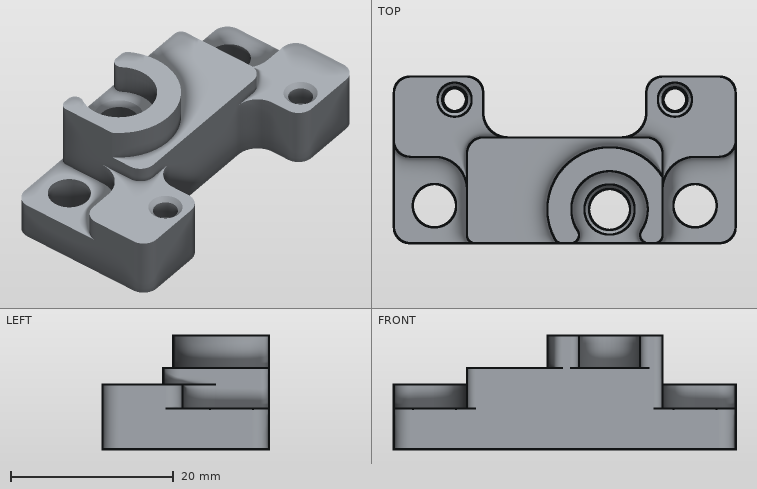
import cadquery as cq
import math

length = 42.0
depth = 20.5
corner_radius = 2.0

foot_height = 5.0
pad_height = 8.0
block_height = 10.0
ring_height = 14.0

notch_width = 20.0
notch_floor_y = 13.0
notch_radius = 3.0

block_width = 24.02
block_front_radius = 1.0

pad_front_y = 10.63
pad_inner_radius = 4.0

ring_x = 5.5
ring_y = 4.15
ring_outer_radius = 7.65
ring_inner_radius = 4.7
lip_radius = 1.0
main_hole_diameter = 5.0
main_countersink_diameter = 6.17

foot_hole_x = 16.0
foot_hole_y = 4.6
foot_hole_diameter = 5.3
pad_hole_x = 13.52
pad_hole_y = 17.65
pad_hole_diameter = 2.77
pad_bore_diameter = 3.05
pad_countersink_diameter = 4.2

position_tolerance = 0.005


def box_from(width, y_front, y_rear, height):
    """Box standing on Z = 0, centred on X = 0, spanning y_front to y_rear."""
    return (
        cq.Workplane("XY")
        .center(0, (y_front + y_rear) / 2)
        .rect(width, y_rear - y_front)
        .extrude(height)
    )


def fillet_uprights_at(body, corners, radius):
    """Round the vertical edges that stand on the given (x, y) corners."""
    uprights = []
    for x, y in corners:
        uprights += [
            edge for edge in body.edges("|Z").vals()
            if math.hypot(edge.Center().x - x, edge.Center().y - y) < position_tolerance
        ]
    return body.newObject(uprights).fillet(radius)


def plate(height):
    """U-shaped plate with rounded corners, open at the rear."""
    half_notch = notch_width / 2
    body = box_from(length, 0, depth, height).cut(
        box_from(notch_width, notch_floor_y, depth, height)
    )
    notch_corners = [(side * half_notch, notch_floor_y) for side in (-1, 1)]
    outer_corners = [
        (side * x, y)
        for side in (-1, 1)
        for x, y in ((length / 2, 0), (length / 2, depth), (half_notch, depth))
    ]
    body = fillet_uprights_at(body, notch_corners, notch_radius)
    return fillet_uprights_at(body, outer_corners, corner_radius)


def pads():
    """Rear half of the plate at pad height, blended into the block sides."""
    body = box_from(length, pad_front_y, depth, pad_height).union(
        box_from(block_width, block_front_radius, pad_front_y, pad_height)
    )
    inner_corners = [(side * block_width / 2, pad_front_y) for side in (-1, 1)]
    outer_corners = [(side * length / 2, pad_front_y) for side in (-1, 1)]
    body = fillet_uprights_at(body, inner_corners, pad_inner_radius)
    body = fillet_uprights_at(body, outer_corners, corner_radius)
    return body.intersect(plate(pad_height))


def block():
    """Central block with small front and larger rear corner radii."""
    body = box_from(block_width, 0, notch_floor_y, block_height)
    body = body.edges("|Z and <Y").fillet(block_front_radius)
    return body.edges("|Z and >Y").fillet(corner_radius)


def open_ring():
    """Ring trimmed by the front and side of the block, with rounded lips."""
    centre = cq.Workplane("XY", origin=(ring_x, ring_y, 0))
    disc = centre.circle(ring_outer_radius).extrude(ring_height)
    bore = centre.circle(ring_inner_radius).extrude(ring_height)
    corner = (
        cq.Workplane("XY", origin=(ring_x, 0, 0))
        .rect(block_width / 2 - ring_x, ring_y, centered=False)
        .extrude(ring_height)
    )
    ring = disc.union(corner).cut(bore)
    ring = ring.intersect(box_from(block_width, 0, notch_floor_y, ring_height))
    ring = ring.edges("|Z and <Y").fillet(lip_radius)
    above_block = box_from(length, 0, depth, ring_height - block_height)
    return ring.intersect(above_block.translate((0, 0, block_height)))


def drill(x, y, diameter, bottom=0):
    """Cutter for a hole from height bottom up through the whole part above it."""
    return cq.Workplane("XY", origin=(x, y, bottom)).circle(diameter / 2).extrude(ring_height)


def drill_countersunk(x, y, diameter, mouth_diameter, top, bottom=0):
    """Cutter for a hole down to bottom with a 45 degree countersink at height top."""
    radius = diameter / 2
    mouth_radius = mouth_diameter / 2
    cone_depth = mouth_radius - radius
    cone = cq.Solid.makeCone(radius, mouth_radius, cone_depth, cq.Vector(x, y, top - cone_depth))
    return drill(x, y, diameter, bottom).union(cq.Workplane(cone))


result = plate(foot_height).union(pads()).union(block()).union(open_ring())

result = result.cut(
    drill_countersunk(ring_x, ring_y, main_hole_diameter, main_countersink_diameter, block_height)
)
for side in (-1, 1):
    pad_hole = (side * pad_hole_x, pad_hole_y)
    result = result.cut(drill(side * foot_hole_x, foot_hole_y, foot_hole_diameter))
    result = result.cut(drill(*pad_hole, pad_hole_diameter))
    result = result.cut(
        drill_countersunk(
            *pad_hole, pad_bore_diameter, pad_countersink_diameter, pad_height, bottom=foot_height
        )
    )